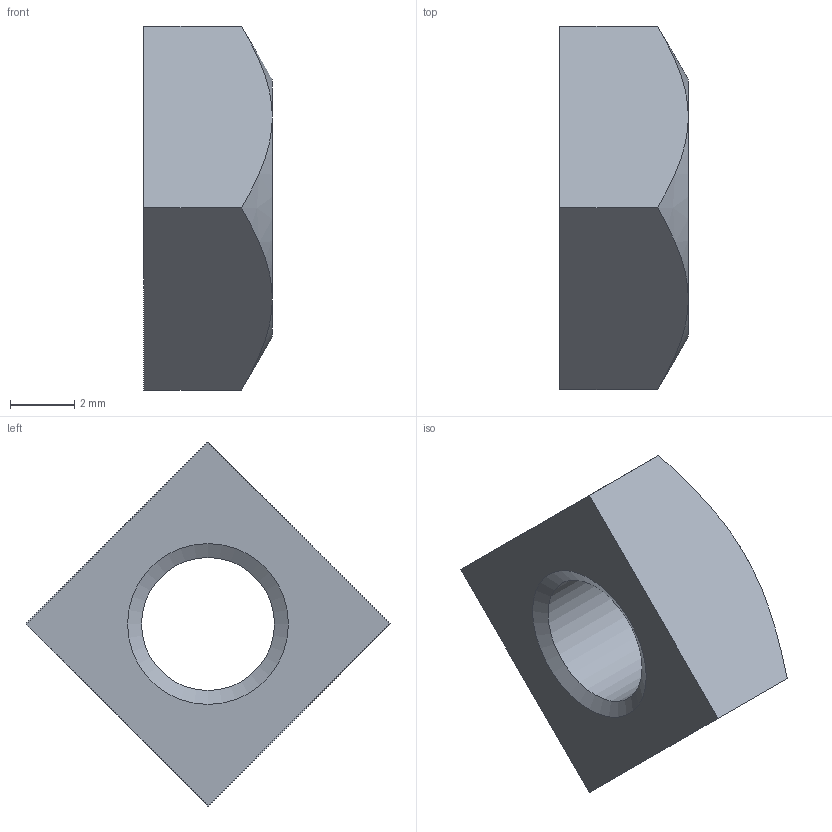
import cadquery as cq
import math

width_across_flats = 8.0
thickness = 4.0
bore_diameter = 4.134
countersink_diameter = 5.0
countersink_angle = math.radians(60)
crown_angle = math.radians(30)
crown_diameter = width_across_flats

corner_radius = width_across_flats / math.sqrt(2)
corner_diameter = 2 * corner_radius


def square_blank():
    """Square prism standing on a corner."""
    return cq.Workplane("YZ").polygon(4, corner_diameter).extrude(thickness)


def crown_envelope():
    """Cylinder through the corners, with a cone cut around its +X end."""
    crown_radius = crown_diameter / 2
    crown_depth = (corner_radius - crown_radius) * math.tan(crown_angle)
    profile = (
        cq.Workplane("XY")
        .moveTo(0, 0)
        .lineTo(0, corner_radius)
        .lineTo(thickness - crown_depth, corner_radius)
        .lineTo(thickness, crown_radius)
        .lineTo(thickness, 0)
        .close()
    )
    return profile.revolve(360, (0, 0, 0), (1, 0, 0))


def bore():
    """Through hole with a conical countersink in the bearing face."""
    bore_radius = bore_diameter / 2
    countersink_radius = countersink_diameter / 2
    countersink_depth = (countersink_radius - bore_radius) / math.tan(countersink_angle)
    profile = (
        cq.Workplane("XY")
        .moveTo(0, 0)
        .lineTo(0, countersink_radius)
        .lineTo(countersink_depth, bore_radius)
        .lineTo(thickness, bore_radius)
        .lineTo(thickness, 0)
        .close()
    )
    return profile.revolve(360, (0, 0, 0), (1, 0, 0))


result = square_blank().intersect(crown_envelope()).cut(bore())